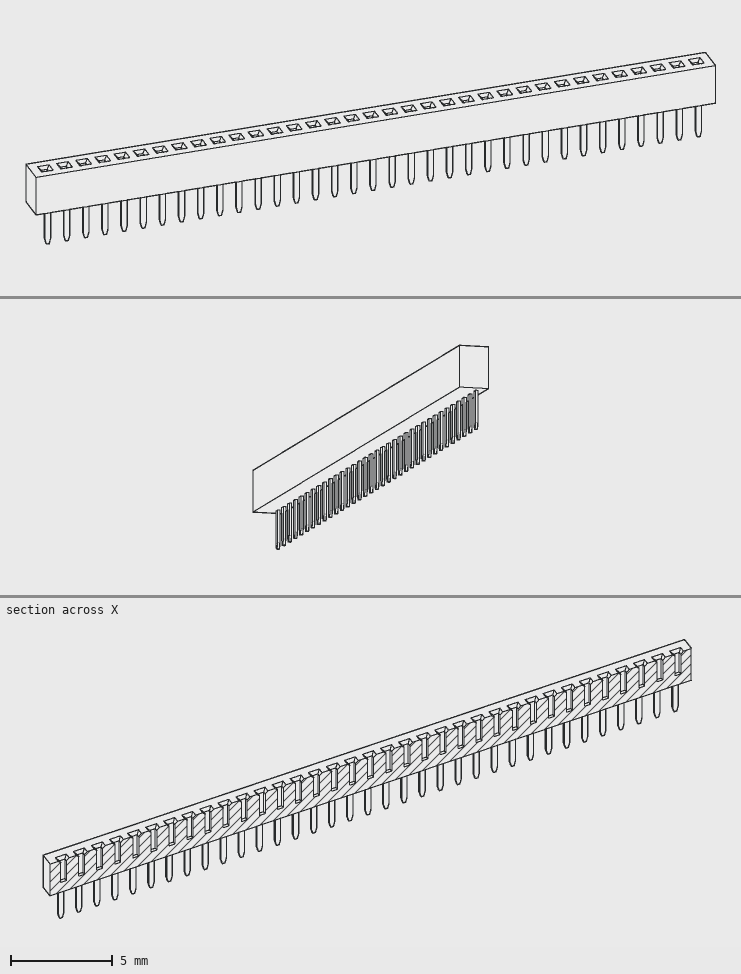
import cadquery as cq

contact_count = 35
end_margin_pitches = 0.75
body_length = 35.5
contact_pitch = body_length / (contact_count - 1 + 2 * end_margin_pitches)
first_contact_y = -contact_pitch * (contact_count - 1) / 2

body_width = 2 * end_margin_pitches * contact_pitch
body_height = 2.1

mouth_size = 0.6
hole_size = 0.3
lead_in = (mouth_size - hole_size) / 2
hole_depth = 1.42

pin_offset = 0.32
pin_thickness = 0.125
pin_width = 0.3
pin_length = 1.9
tip_length = 0.3
tip_width = 0.15


def make_body():
    return cq.Workplane("XY").box(body_width, body_length, body_height, centered=(True, True, False))


def make_socket():
    """Lead-in and hole of one socket, centred on the Z axis."""
    mouth = (
        cq.Workplane("XY", origin=(0, 0, body_height))
        .rect(mouth_size, mouth_size)
        .workplane(offset=-lead_in)
        .rect(hole_size, hole_size)
        .loft(ruled=True)
    )
    hole = cq.Workplane("XY", origin=(0, 0, body_height)).rect(hole_size, hole_size).extrude(-hole_depth)
    return mouth.union(hole)


def make_pin():
    """One pin below the housing underside, a flat blade narrowing in Y at its tip."""
    outline = [
        (-pin_width / 2, 0),
        (pin_width / 2, 0),
        (pin_width / 2, tip_length - pin_length),
        (tip_width / 2, -pin_length),
        (-tip_width / 2, -pin_length),
        (-pin_width / 2, tip_length - pin_length),
    ]
    blade = cq.Workplane("YZ").polyline(outline).close().extrude(pin_thickness / 2, both=True)
    return blade.translate((pin_offset, 0, 0))


def copy_along_row(feature):
    """Copies of a solid, one at each contact along Y."""
    shape = feature.val()
    copies = []
    for index in range(contact_count):
        contact_y = first_contact_y + index * contact_pitch
        copies.append(shape.translate(cq.Vector(0, contact_y, 0)))
    return cq.Workplane("XY").newObject([cq.Compound.makeCompound(copies)])


result = make_body().cut(copy_along_row(make_socket())).union(copy_along_row(make_pin()))